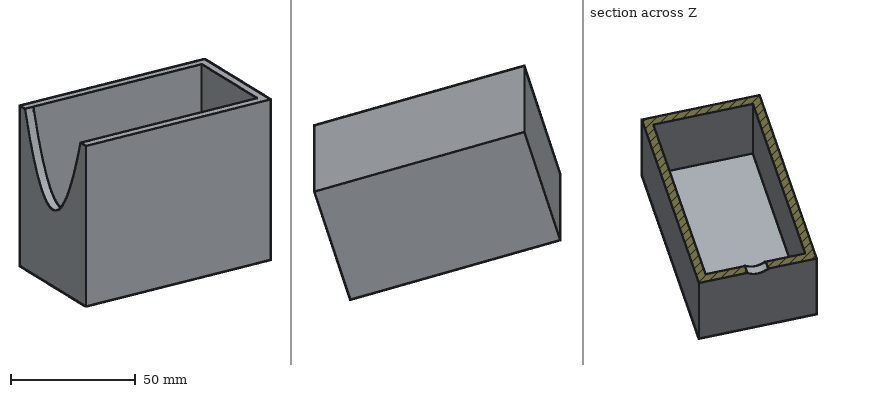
import cadquery as cq

width = 49.0
length = 88.0
height = 70.0

wall = 4.0
notch_depth = 36.5

inner_width = width - 2 * wall
inner_length = length - 2 * wall


def make_box():
    """Outer block, centred in X and Y and standing on Z = 0."""
    return cq.Workplane("XY").box(width, length, height, centered=(True, True, False))


def make_cavity():
    """Rectangular pocket, open at the rim and closed by the floor."""
    return (
        cq.Workplane("XY")
        .workplane(offset=wall)
        .rect(inner_width, inner_length)
        .extrude(height - wall)
    )


def make_notch():
    """Parabolic cutter for the -Y wall, as wide as the cavity at the rim."""
    half_width = inner_width / 2
    control_z = height - 2 * notch_depth
    return (
        cq.Workplane("XZ", origin=(0, -inner_length / 2, 0))
        .moveTo(-half_width, height)
        .bezier([(0, control_z), (half_width, height)], includeCurrent=True)
        .close()
        .extrude(wall)
    )


def make_holder():
    return make_box().cut(make_cavity()).cut(make_notch())


holder = make_holder()

result = cq.Compound.makeCompound([holder.val()])